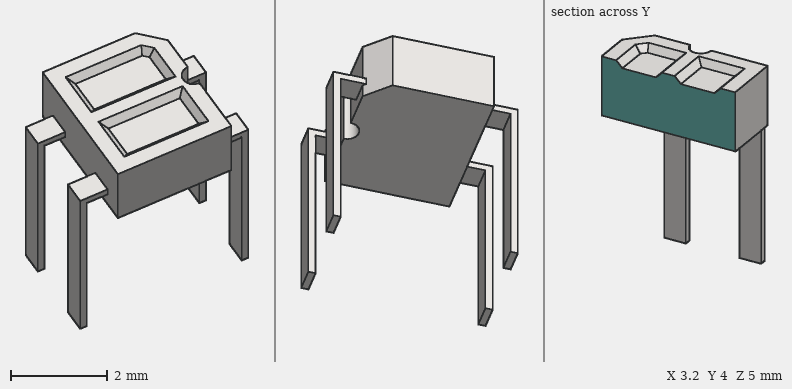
import cadquery as cq

overall_depth = 4.0
overall_height = 5.0

body_width = 3.2
body_depth = 2.7
body_height = 1.4
corner_chamfer = 0.5
notch_radius = 0.25

window_margin = 0.35
window_width = 1.1
window_length = body_depth - 2 * window_margin
window_draft = 45
window_depth = 0.15
window_corner_chamfer = 0.2
window_offset = body_width / 2 - window_margin - window_width / 2

lead_width = 0.52
lead_thickness = 0.16
lead_offset = 0.9
lead_top_drop = 0.93
lead_embed = 0.2
lead_top = body_height - lead_top_drop
lead_bottom = body_height - overall_height


def make_body():
    """Block with the (-X, +Y) corner cut off and a half-round notch in the +Y face."""
    block = cq.Workplane("XY").box(body_width, body_depth, body_height, centered=(True, True, False))
    block = block.edges("|Z and <X and >Y").chamfer(corner_chamfer)
    notch = cq.Workplane("XY").center(0, body_depth / 2).circle(notch_radius).extrude(body_height)
    return block.cut(notch)


def make_window(x_center, cut_corner):
    """Tapered pocket; cut_corner trims its (-X, +Y) corner to follow the body corner."""
    left = x_center - window_width / 2
    right = x_center + window_width / 2
    front = -window_length / 2
    back = window_length / 2
    outline = [(left, front), (right, front), (right, back)]
    if cut_corner:
        outline += [(left + window_corner_chamfer, back), (left, back - window_corner_chamfer)]
    else:
        outline.append((left, back))
    return (
        cq.Workplane("XY", origin=(0, 0, body_height))
        .polyline(outline)
        .close()
        .extrude(-window_depth, taper=window_draft)
    )


def make_lead(x_center, side):
    """L-shaped lead leaving the body on the +Y (side = 1) or -Y (side = -1) face."""
    inner = side * (body_depth / 2 - lead_embed)
    outer = side * overall_depth / 2
    leg_inner = outer - side * lead_thickness
    shoulder = lead_top - lead_thickness
    profile = [
        (inner, lead_top),
        (outer, lead_top),
        (outer, lead_bottom),
        (leg_inner, lead_bottom),
        (leg_inner, shoulder),
        (inner, shoulder),
    ]
    start = x_center - lead_width / 2
    return cq.Workplane("YZ", origin=(start, 0, 0)).polyline(profile).close().extrude(lead_width)


result = make_body()
result = result.cut(make_window(-window_offset, cut_corner=True))
result = result.cut(make_window(window_offset, cut_corner=False))
for lead_x in (-lead_offset, lead_offset):
    for lead_side in (-1, 1):
        result = result.union(make_lead(lead_x, lead_side))